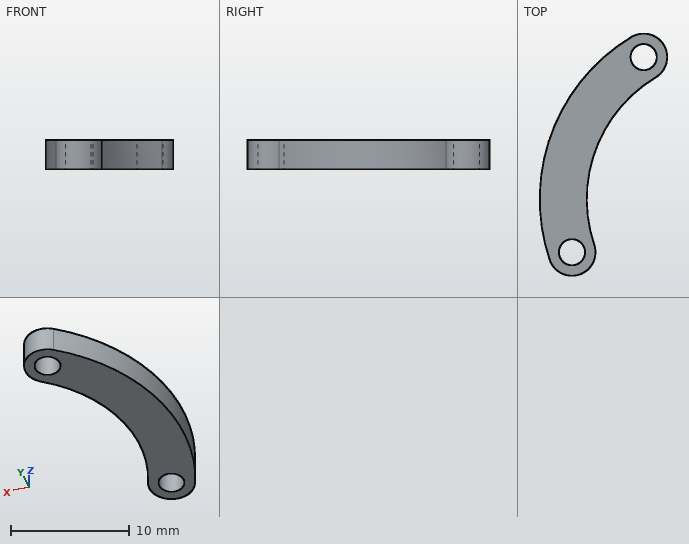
import cadquery as cq
import math

thickness = 2.5
band_width = 4.0
center_radius = 14.02
hole_diameter = 2.2
upper_angle = 121.0
lower_angle = 198.65

end_radius = band_width / 2
middle_angle = (upper_angle + lower_angle) / 2
outer_radius = center_radius + end_radius
inner_radius = center_radius - end_radius


def polar(radius, angle):
    """Point at the given radius and angle (degrees) about the arc center."""
    turn = math.radians(angle)
    return (radius * math.cos(turn), radius * math.sin(turn))


def end_tip(angle, side):
    """Outermost point of a rounded end; side is the rotation sense, +1 or -1."""
    x, y = polar(center_radius, angle)
    offset_x, offset_y = polar(end_radius, angle + side * 90)
    return (x + offset_x, y + offset_y)


link = (
    cq.Workplane("XY")
    .moveTo(*polar(outer_radius, upper_angle))
    .threePointArc(polar(outer_radius, middle_angle), polar(outer_radius, lower_angle))
    .threePointArc(end_tip(lower_angle, 1), polar(inner_radius, lower_angle))
    .threePointArc(polar(inner_radius, middle_angle), polar(inner_radius, upper_angle))
    .threePointArc(end_tip(upper_angle, -1), polar(outer_radius, upper_angle))
    .close()
    .extrude(thickness)
)

hole_centers = [polar(center_radius, angle) for angle in (upper_angle, lower_angle)]
holes = (
    cq.Workplane("XY")
    .pushPoints(hole_centers)
    .circle(hole_diameter / 2)
    .extrude(thickness)
)

result = link.cut(holes)